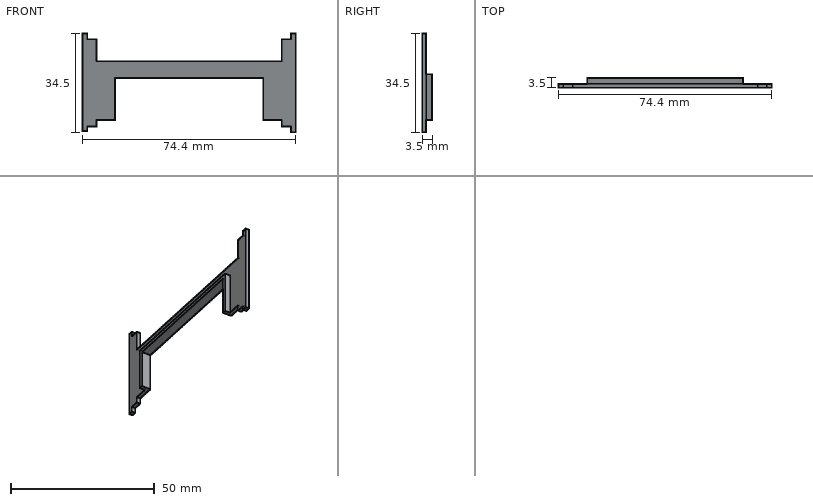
import cadquery as cq

length = 74.4
height = 34.45
depth = 3.5
plate_thickness = 1.4

tab_width = 1.8
post_width = 5.0
tab_top_step = 1.9
left_tab_bottom = 0.45
shoulder_bottom = 2.0

bar_top = 24.8
bar_bottom = 18.9
leg_width = 11.45
leg_bottom = 4.25

rim_width = 1.4


def block(x_min, x_max, z_min, z_max, y_min=0.0, y_max=plate_thickness):
    """Box between the given limits."""
    size = (x_max - x_min, y_max - y_min, z_max - z_min)
    return cq.Workplane("XY").box(*size, centered=False).translate((x_min, y_min, z_min))


def end_post(tab_bottom):
    """Stepped post at the left end, with its leg."""
    tab = block(0, tab_width, tab_bottom, height)
    shoulder = block(0, post_width, shoulder_bottom, height - tab_top_step)
    leg = block(0, leg_width, leg_bottom, bar_top)
    return tab.union(shoulder).union(leg)


def back_rim():
    """Three-sided rim along the inner edges of the legs and the crossbar."""
    rim_start = leg_width - rim_width
    outer = block(rim_start, length - rim_start, leg_bottom, bar_bottom + rim_width, plate_thickness, depth)
    opening = block(leg_width, length - leg_width, leg_bottom, bar_bottom, plate_thickness, depth)
    return outer.cut(opening)


left_post = end_post(left_tab_bottom)
right_post = end_post(0).mirror("YZ").translate((length, 0, 0))
crossbar = block(0, length, bar_bottom, bar_top)

result = left_post.union(right_post).union(crossbar).union(back_rim())